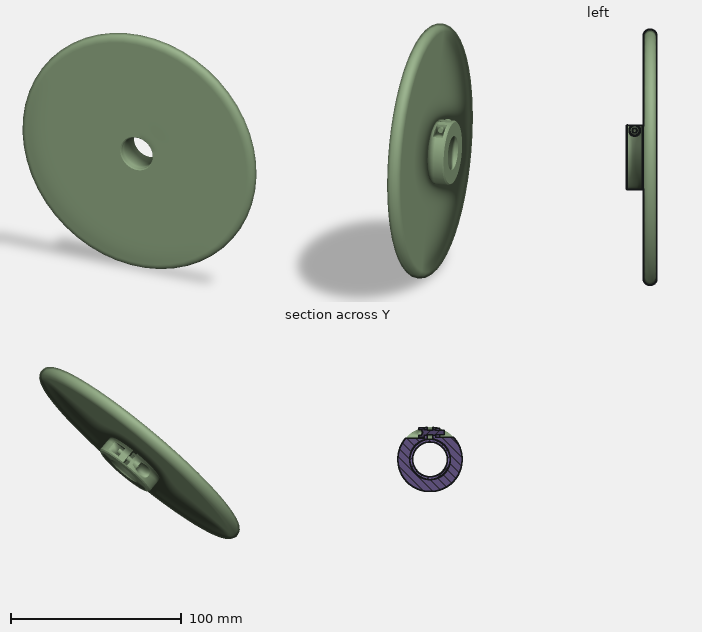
import cadquery as cq
import math


WHEEL_DIAMETER = 150
WHEEL_THICKNESS = 8.0
OVERALL_DEPTH = 18
BORE_RADIUS = 10.0
BORE_CHAMFER = 0.6
HUB_RADIUS = 12
SHOULDER_RADIUS = 12.8
SHOULDER_LENGTH = 1.4

COLLAR_DIAMETER = 38.0
COLLAR_RADIUS = COLLAR_DIAMETER / 2
END_CHAMFER = 0.8
BASE_CHAMFER = 0.52
SLOT_WIDTH = 3
SHOULDER_END = WHEEL_THICKNESS + SHOULDER_LENGTH
SLOT_END = OVERALL_DEPTH - END_CHAMFER

SCREW_Y = (WHEEL_THICKNESS + OVERALL_DEPTH) / 2
SCREW_Z = 15.8
SEAT_X = 3.5
SHANK_RADIUS = 1.5
SHANK_LENGTH = 11.8
HEAD_RADIUS = 2.8
HEAD_LENGTH = 3.2
SOCKET_FLATS = 2.7
SOCKET_DEPTH = 1.5
SOCKET_TIP_DEPTH = 0.8
COUNTERBORE_RADIUS = 3.3

NUT_WIDTH = 6
NUT_HEIGHT = 5.2
NUT_THICKNESS = 2.4


def revolve_about_y(profile):
    """Turn a closed (axial, radial) profile once about the wheel axis."""
    return profile.revolve(360, (0, 0, 0), (1, 0, 0))


def screw_plane(x):
    """Plane across the screw axis at the given X, facing +X."""
    return cq.Workplane("YZ", origin=(x, SCREW_Y, SCREW_Z))


def make_wheel():
    rim_start = (WHEEL_DIAMETER - WHEEL_THICKNESS) / 2
    profile = (
        cq.Workplane("YZ")
        .moveTo(0, BORE_RADIUS + BORE_CHAMFER)
        .lineTo(0, rim_start)
        .threePointArc((WHEEL_THICKNESS / 2, WHEEL_DIAMETER / 2), (WHEEL_THICKNESS, rim_start))
        .lineTo(WHEEL_THICKNESS, SHOULDER_RADIUS)
        .lineTo(SHOULDER_END, SHOULDER_RADIUS)
        .lineTo(SHOULDER_END, HUB_RADIUS)
        .lineTo(OVERALL_DEPTH, HUB_RADIUS)
        .lineTo(OVERALL_DEPTH, BORE_RADIUS)
        .lineTo(BORE_CHAMFER, BORE_RADIUS)
        .close()
    )
    return revolve_about_y(profile)


def make_collar():
    profile = (
        cq.Workplane("YZ")
        .moveTo(WHEEL_THICKNESS, SHOULDER_RADIUS)
        .lineTo(WHEEL_THICKNESS, COLLAR_RADIUS - BASE_CHAMFER)
        .lineTo(WHEEL_THICKNESS + BASE_CHAMFER, COLLAR_RADIUS)
        .lineTo(SLOT_END, COLLAR_RADIUS)
        .lineTo(OVERALL_DEPTH, COLLAR_RADIUS - END_CHAMFER)
        .lineTo(OVERALL_DEPTH, HUB_RADIUS)
        .lineTo(SHOULDER_END, HUB_RADIUS)
        .lineTo(SHOULDER_END, SHOULDER_RADIUS)
        .close()
    )
    collar = revolve_about_y(profile)
    slot = cq.Workplane().box(SLOT_WIDTH, SLOT_END, COLLAR_RADIUS, centered=(True, False, False))
    outward = COLLAR_RADIUS - SEAT_X
    counterbore = screw_plane(-SEAT_X).circle(COUNTERBORE_RADIUS).extrude(-outward)
    shank_hole = screw_plane(-SEAT_X).circle(SHANK_RADIUS).extrude(2 * SEAT_X)
    nut_pocket = screw_plane(SEAT_X).rect(NUT_WIDTH, NUT_HEIGHT).extrude(outward)
    for cutter in (slot, counterbore, shank_hole, nut_pocket):
        collar = collar.cut(cutter)
    return collar.solids()


def make_screw():
    head_end = -SEAT_X - HEAD_LENGTH
    shank = screw_plane(-SEAT_X).circle(SHANK_RADIUS).extrude(SHANK_LENGTH)
    head = screw_plane(head_end).circle(HEAD_RADIUS).extrude(HEAD_LENGTH)
    socket_corners = SOCKET_FLATS / math.cos(math.pi / 6)
    socket = screw_plane(head_end).polygon(6, socket_corners).extrude(SOCKET_DEPTH)
    tip_start = head_end + SOCKET_DEPTH
    tip = cq.Workplane(
        cq.Solid.makeCone(
            SOCKET_FLATS / 2,
            0,
            SOCKET_TIP_DEPTH,
            pnt=cq.Vector(tip_start, SCREW_Y, SCREW_Z),
            dir=cq.Vector(1, 0, 0),
        )
    )
    return shank.union(head).cut(socket).cut(tip).solids()


def make_nut():
    return screw_plane(SEAT_X).rect(NUT_WIDTH, NUT_HEIGHT).circle(SHANK_RADIUS).extrude(NUT_THICKNESS)


wheel = make_wheel()
collar = make_collar()
screw = make_screw()
nut = make_nut()

result = cq.Compound.makeCompound([wheel.val(), collar.val(), screw.val(), nut.val()])